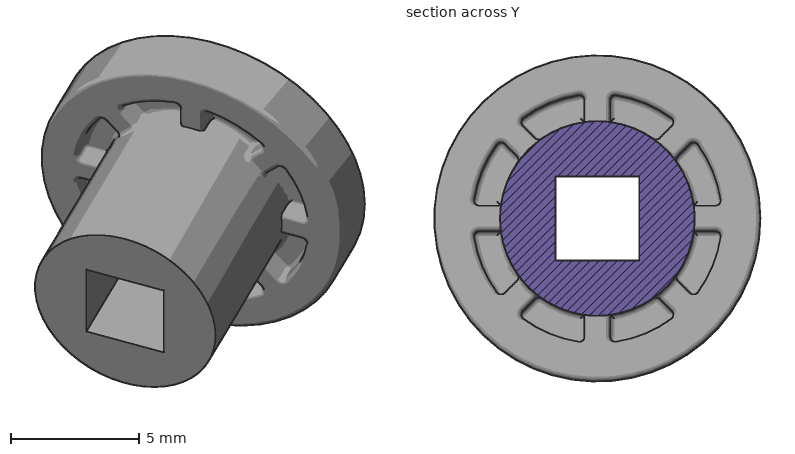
import cadquery as cq
import math

overall_length = 9.22
flange_diameter = 12.7
flange_thickness = 2.32
barrel_diameter = 7.58
square_width = 3.25

pocket_outer_radius = 4.85
pocket_depth = 0.8
rib_width = 1.0
rib_count = 8

edge_radius = 0.2

barrel_radius = barrel_diameter / 2
pocket_overlap = 0.8
pocket_inner_radius = barrel_radius - pocket_overlap
face_y = -flange_thickness
pocket_floor_y = face_y + pocket_depth
rib_pitch = 360 / rib_count
tolerance = 0.01


def is_at(value, target):
    return abs(value - target) < tolerance


def edge_middle(edge):
    return edge.positionAt(0.5)


def radius_of(point):
    """Distance of a point from the part's axis."""
    return math.hypot(point.x, point.z)


def round_edges(body, wanted):
    """Fillet every edge for which the test `wanted` is true."""
    edges = [edge for edge in body.edges().vals() if wanted(edge)]
    return body.newObject(edges).fillet(edge_radius)


def make_flange():
    disc = cq.Workplane("XZ").circle(flange_diameter / 2).extrude(flange_thickness)
    return disc.faces("<Y").edges().fillet(edge_radius)


def make_barrel():
    return cq.Workplane("XZ").circle(barrel_radius).extrude(overall_length)


def make_square_bore():
    return cq.Workplane("XZ").rect(square_width, square_width).extrude(overall_length)


def make_rib_bar(angle):
    """Bar across the whole flange that forms two opposite ribs."""
    bar = cq.Workplane("XZ").rect(flange_diameter, rib_width).extrude(flange_thickness)
    return bar.rotate((0, 0, 0), (0, 1, 0), angle)


def is_outer_pocket_corner(edge):
    along_axis = is_at(edge.startPoint().sub(edge.endPoint()).Length, pocket_depth)
    return along_axis and is_at(radius_of(edge_middle(edge)), pocket_outer_radius)


def make_pockets():
    """Ring split by the ribs, with rounded outer corners."""
    pockets = (
        cq.Workplane("XZ", origin=(0, pocket_floor_y, 0))
        .circle(pocket_outer_radius)
        .circle(pocket_inner_radius)
        .extrude(pocket_depth)
    )
    for index in range(rib_count // 2):
        pockets = pockets.cut(make_rib_bar(index * rib_pitch))
    return round_edges(pockets, is_outer_pocket_corner)


def is_pocket_rim(edge):
    """Rim of the pockets on the flange face, without the inner arcs that the barrel covers."""
    middle = edge_middle(edge)
    smallest = pocket_inner_radius + tolerance
    largest = pocket_outer_radius + tolerance
    return is_at(middle.y, face_y) and smallest < radius_of(middle) < largest


def is_inside_corner(edge):
    """Pocket floor edges, and the joint between the barrel and the diagonal ribs.

    The ribs on the X and Z axes meet the barrel in a sharp corner.
    """
    middle = edge_middle(edge)
    if is_at(middle.y, pocket_floor_y):
        return True
    on_barrel = is_at(radius_of(middle), barrel_radius)
    beside_pockets = face_y - tolerance < middle.y < pocket_floor_y
    on_axis_rib = min(abs(middle.x), abs(middle.z)) < rib_width / 2 + tolerance
    return on_barrel and beside_pockets and not on_axis_rib


flange = make_flange().cut(make_pockets())
flange = round_edges(flange, is_pocket_rim)
hub = flange.union(make_barrel())
hub = round_edges(hub, is_inside_corner)
result = hub.cut(make_square_bore())